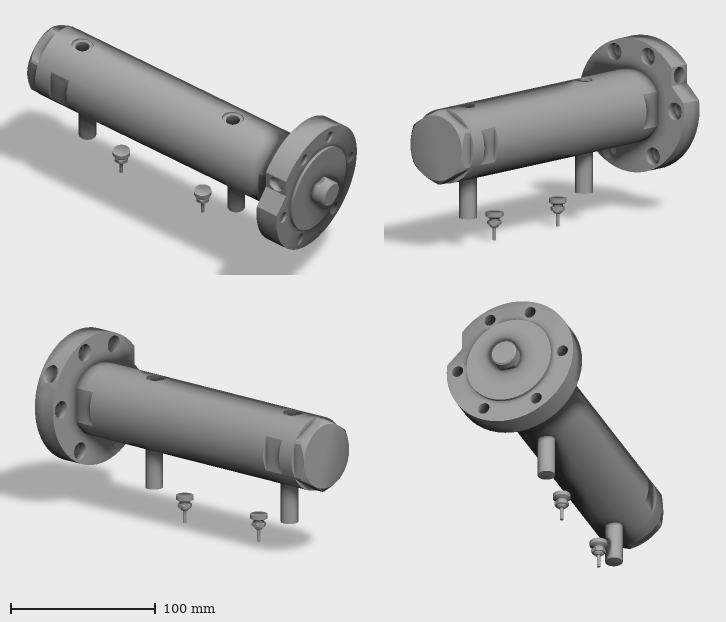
import cadquery as cq
import math

OVERALL_LENGTH = 244.5
BOTTOM_Z = -73.5

HEXAGON_SIDES = 6
HALF_SIDE_ANGLE = 180 / HEXAGON_SIDES

HEAD_LENGTH = 9.0
ACROSS_FLATS = 46.0
HEAD_CHAMFER = 3.2
RIM_LENGTH = 1.5
SPIGOT_LENGTH = 29.3

TUBE_DIAMETER = 52.0
TUBE_RADIUS = TUBE_DIAMETER / 2
BORE_RADIUS = 14.7
FLANGE_RADIUS = 47.0
FLANGE_THICKNESS = 17.0
FLANGE_START = 214.3
RING_RADIUS = 31.3
RING_LENGTH = 2.2

WRENCH_FLAT_LENGTH = 15.2
WRENCH_FLAT_START = 20.8
NECK_FLAT_START = 199.0

PORT_SPACING = 129.0
PORT_START = 30.5
PORT_RADIUS = 5.0
SPOTFACE_RADIUS = 7.5
SPOTFACE_Z = 24.5

NOTCH_Y = -35.7
NOTCH_CORNER_Z = 17.4
CROSS_HOLE_RADIUS = 5.9
CROSS_HOLE_Z = 24.0

BOLT_CIRCLE_RADIUS = 38.9
BOLT_ANGLES = (0, 67.5, 112.5, 180, 240, 300)
BOLT_RADIUS = 4.2
COUNTERBORE_RADIUS = 6.0
COUNTERBORE_DEPTH = 6.0

ROD_RADIUS = 9.3
GUIDE_START = 162.3
GUIDE_RADIUS = 21.5
COLLAR_RADIUS = 20.0
ROD_CHAMFER = 1.0
ROD_FLAT_Z = 7.5
ROD_FLAT_LENGTH = 4.2

SENSOR_TUBE_RADIUS = 6.0
SENSOR_TUBE_BOTTOM_Z = -53.8
SENSOR_TUBE_TOP_Z = -22.0
SENSOR_TUBE_POSITIONS = (35.0, 162.5)

GLAND_POSITIONS = (64.0, 133.7)
GLAND_DISC_RADIUS = 6.0
GLAND_DISC_THICKNESS = 3.0
GLAND_NECK_RADIUS = 3.5
GLAND_TAPER_LENGTH = 1.5
GLAND_NECK_LENGTH = 1.5
GLAND_NUT_RADIUS = 5.1
GLAND_NUT_HEIGHT = 3.0
GLAND_NUT_CHAMFER = 0.7
GLAND_NOSE_LENGTH = 2.0
GLAND_NOSE_CHAMFER = 1.2
CABLE_RADIUS = 1.2

TUBE_START = HEAD_LENGTH + RIM_LENGTH
SPIGOT_END = TUBE_START + SPIGOT_LENGTH
FLANGE_END = FLANGE_START + FLANGE_THICKNESS
RING_END = FLANGE_END + RING_LENGTH
CROSS_HOLE_X = FLANGE_START + FLANGE_THICKNESS / 2
FLAT_Y = ACROSS_FLATS / 2


def rod_along_x(start, end, radius):
    return cq.Workplane("YZ", origin=(start, 0, 0)).circle(radius).extrude(end - start)


def rod_along_z(x, bottom, top, radius):
    return cq.Workplane("XY", origin=(x, 0, bottom)).circle(radius).extrude(top - bottom)


def sensor_tube(x):
    return rod_along_z(x, SENSOR_TUBE_BOTTOM_Z, SENSOR_TUBE_TOP_Z, SENSOR_TUBE_RADIUS)


def cut_wrench_flats(body, start, length):
    """Cut the +Y and -Y sides of the tube flat over a stretch of its length."""
    slab = cq.Workplane("XY").box(length, TUBE_RADIUS, 2 * TUBE_RADIUS, centered=(False, True, True))
    for side in (-1, 1):
        body = body.cut(slab.translate((start, side * (FLAT_Y + TUBE_RADIUS / 2), 0)))
    return body


def make_end_cap():
    across_corners = ACROSS_FLATS / math.cos(math.radians(HALF_SIDE_ANGLE))
    hexagon = (
        cq.Workplane("YZ")
        .polygon(HEXAGON_SIDES, across_corners)
        .extrude(HEAD_LENGTH)
        .rotate((0, 0, 0), (1, 0, 0), HALF_SIDE_ANGLE)
    )
    envelope = rod_along_x(0, HEAD_LENGTH, TUBE_RADIUS).faces("<X").chamfer(HEAD_CHAMFER)
    head = hexagon.intersect(envelope)
    rim = rod_along_x(HEAD_LENGTH, TUBE_START, TUBE_RADIUS)
    spigot = rod_along_x(TUBE_START, SPIGOT_END, BORE_RADIUS)
    return head.union(rim).union(spigot)


def make_flange():
    flange = rod_along_x(FLANGE_START, FLANGE_END, FLANGE_RADIUS)
    reach = FLANGE_RADIUS + NOTCH_Y
    notch = (
        cq.Workplane("YZ", origin=(FLANGE_START, 0, 0))
        .moveTo(NOTCH_Y, NOTCH_CORNER_Z)
        .lineTo(NOTCH_Y, FLANGE_RADIUS)
        .lineTo(-FLANGE_RADIUS, FLANGE_RADIUS)
        .lineTo(-FLANGE_RADIUS, NOTCH_CORNER_Z - reach)
        .close()
        .extrude(FLANGE_THICKNESS)
    )
    flange = flange.cut(notch)
    for angle in BOLT_ANGLES:
        y = BOLT_CIRCLE_RADIUS * math.cos(math.radians(angle))
        z = BOLT_CIRCLE_RADIUS * math.sin(math.radians(angle))
        hole = rod_along_x(FLANGE_START, FLANGE_END, BOLT_RADIUS)
        counterbore = rod_along_x(FLANGE_START, FLANGE_START + COUNTERBORE_DEPTH, COUNTERBORE_RADIUS)
        flange = flange.cut(hole.union(counterbore).translate((0, y, z)))
    return flange


def make_housing():
    housing = rod_along_x(TUBE_START, FLANGE_START, TUBE_RADIUS)
    housing = cut_wrench_flats(housing, WRENCH_FLAT_START, WRENCH_FLAT_LENGTH)
    housing = cut_wrench_flats(housing, NECK_FLAT_START, FLANGE_START - NECK_FLAT_START)
    housing = housing.union(make_flange())
    housing = housing.union(rod_along_x(FLANGE_END, RING_END, RING_RADIUS))

    housing = housing.cut(rod_along_x(TUBE_START, GUIDE_START, BORE_RADIUS))
    housing = housing.cut(rod_along_x(GUIDE_START, FLANGE_START, GUIDE_RADIUS))
    housing = housing.cut(rod_along_x(FLANGE_START, FLANGE_END, COLLAR_RADIUS))
    housing = housing.cut(rod_along_x(FLANGE_END, RING_END, ROD_RADIUS))

    for port_x in (PORT_START, PORT_START + PORT_SPACING):
        housing = housing.cut(rod_along_z(port_x, 0, TUBE_RADIUS, PORT_RADIUS))
        housing = housing.cut(rod_along_z(port_x, SPOTFACE_Z, TUBE_RADIUS, SPOTFACE_RADIUS))

    cross_hole = (
        cq.Workplane("XZ", origin=(CROSS_HOLE_X, 0, CROSS_HOLE_Z))
        .circle(CROSS_HOLE_RADIUS)
        .extrude(FLANGE_RADIUS, both=True)
    )
    housing = housing.cut(cross_hole)

    for x in SENSOR_TUBE_POSITIONS:
        housing = housing.cut(sensor_tube(x))
    return housing


def make_piston_rod():
    rod = rod_along_x(SPIGOT_END, OVERALL_LENGTH, ROD_RADIUS).faces(">X").chamfer(ROD_CHAMFER)
    rod = rod.union(rod_along_x(GUIDE_START, FLANGE_START, GUIDE_RADIUS))
    rod = rod.union(rod_along_x(FLANGE_START, FLANGE_END, COLLAR_RADIUS))
    slab = cq.Workplane("XY").box(ROD_FLAT_LENGTH, 2 * ROD_RADIUS, ROD_RADIUS, centered=(False, True, True))
    for side in (-1, 1):
        rod = rod.cut(slab.translate((RING_END, 0, side * (ROD_FLAT_Z + ROD_RADIUS / 2))))
    return rod


def make_cable_gland(x):
    disc_bottom = SENSOR_TUBE_BOTTOM_Z - GLAND_DISC_THICKNESS
    taper_bottom = disc_bottom - GLAND_TAPER_LENGTH
    nut_top = taper_bottom - GLAND_NECK_LENGTH
    nut_bottom = nut_top - GLAND_NUT_HEIGHT
    nose_bottom = nut_bottom - GLAND_NOSE_LENGTH
    turned = (
        cq.Workplane("XZ")
        .moveTo(0, SENSOR_TUBE_BOTTOM_Z)
        .lineTo(GLAND_DISC_RADIUS, SENSOR_TUBE_BOTTOM_Z)
        .lineTo(GLAND_DISC_RADIUS, disc_bottom)
        .lineTo(GLAND_NECK_RADIUS, taper_bottom)
        .lineTo(GLAND_NECK_RADIUS, nose_bottom + GLAND_NOSE_CHAMFER)
        .lineTo(GLAND_NECK_RADIUS - GLAND_NOSE_CHAMFER, nose_bottom)
        .lineTo(CABLE_RADIUS, nose_bottom)
        .lineTo(CABLE_RADIUS, BOTTOM_Z)
        .lineTo(0, BOTTOM_Z)
        .close()
        .revolve(360, (0, 0, 0), (0, 1, 0))
    )
    nut = (
        cq.Workplane("XY", origin=(0, 0, nut_bottom))
        .polygon(HEXAGON_SIDES, 2 * GLAND_NUT_RADIUS)
        .extrude(GLAND_NUT_HEIGHT)
    )
    nut = nut.intersect(
        rod_along_z(0, nut_bottom, nut_top, GLAND_NUT_RADIUS).faces("<Z or >Z").chamfer(GLAND_NUT_CHAMFER)
    )
    return turned.union(nut).translate((x, 0, 0))


end_cap = make_end_cap()
housing = make_housing()
piston_rod = make_piston_rod()
sensor_tubes = [sensor_tube(x) for x in SENSOR_TUBE_POSITIONS]
cable_glands = [make_cable_gland(x) for x in GLAND_POSITIONS]

result = cq.Compound.makeCompound(
    [end_cap.val(), housing.val(), piston_rod.val()]
    + [tube.val() for tube in sensor_tubes]
    + [gland.val() for gland in cable_glands]
)